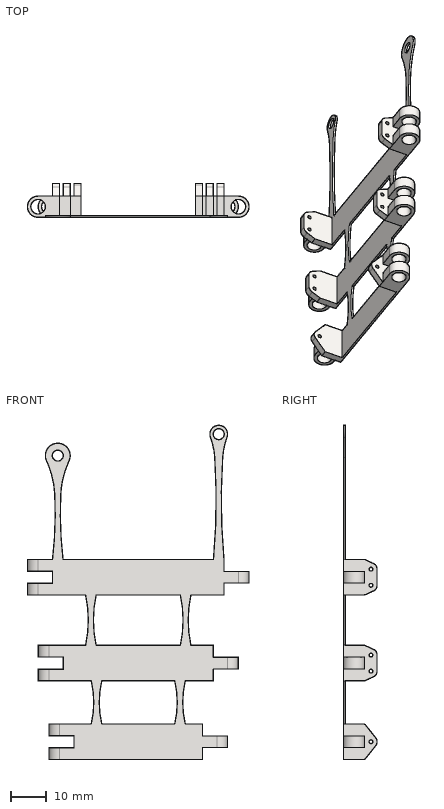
import cadquery as cq

plate_thickness = 0.6
segment_height = 10.0
lower_half_length = 25.0
length_step = 3.0
lower_gap = 12.0
upper_gap = 14.0

knuckle_radius = 3.0
knuckle_depth = 2 * knuckle_radius
knuckle_bore = 4.0
tongue_height = segment_height / 3
leaf_setback = 7.0

flange_thickness = 2.0
flange_depth = 9.5
flange_tip_radius = 1.75
flange_hole = 1.0
flange_hole_spacing = 4.5

link_end_width = 3.0
lower_link_waist = 1.6
upper_link_waist = 1.5
lower_link_offset = 11.67
upper_link_offset = 13.25

strap_offset = 22.5
strap_waist = 1.5
eyelet_hole = 3.0
left_eyelet_radius = 3.5
left_eyelet_rise = 29.0
left_neck_fillet = 25.0
right_eyelet_radius = 2.5
right_eyelet_rise = 35.0
right_neck_fillet = 20.0

middle_half_length = lower_half_length + length_step
upper_half_length = middle_half_length + length_step
middle_base = segment_height + lower_gap
upper_base = middle_base + segment_height + upper_gap
upper_top = upper_base + segment_height


def block(x_start, x_end, depth, z_start, z_end):
    """Box with its front face on Y = 0."""
    size = (x_end - x_start, depth, z_end - z_start)
    return cq.Workplane("XY").box(*size, centered=False).translate((x_start, 0, z_start))


def disc(radius, depth, x, z):
    """Round disc lying along Y with its front face on Y = 0."""
    return cq.Workplane("XZ", origin=(x, 0, z)).circle(radius).extrude(-depth)


def knuckle_bar(half_length, z_start, z_end):
    """Bored, round-ended bar at the -X end, running back to the inner flange face."""
    barrel_x = -half_length + knuckle_radius
    inner_x = -half_length + leaf_setback + flange_thickness
    barrel_plane = cq.Workplane("XY", origin=(barrel_x, knuckle_radius, z_start))
    barrel = barrel_plane.circle(knuckle_radius).extrude(z_end - z_start)
    bore = barrel_plane.circle(knuckle_bore / 2).extrude(z_end - z_start)
    return block(barrel_x, inner_x, knuckle_depth, z_start, z_end).union(barrel).cut(bore)


def tangent_point(tip_y, tip_z, corner_z, side):
    """Point where the taper from a flange corner touches the rounded tip; side is -1 low, 1 high."""
    run_y = knuckle_depth - tip_y
    run_z = abs(corner_z - tip_z)
    distance_squared = run_y**2 + run_z**2
    along = flange_tip_radius**2 / distance_squared
    across = flange_tip_radius * (distance_squared - flange_tip_radius**2) ** 0.5 / distance_squared
    return tip_y + along * run_y + across * run_z, tip_z + side * (along * run_z - across * run_y)


def flange(half_length, base, hole_heights):
    """Upright flange at the -X end, tapering behind the knuckles to rounded, drilled tips."""
    outer_x = -half_length + leaf_setback
    tip_y = flange_depth - flange_tip_radius
    low_z, high_z = base + hole_heights[0], base + hole_heights[-1]
    top = base + segment_height
    plane = cq.Workplane("YZ", origin=(outer_x, 0, 0))
    body = block(outer_x, outer_x + flange_thickness, knuckle_depth, base, top)
    taper = [(knuckle_depth, base), tangent_point(tip_y, low_z, base, -1)]
    taper += [tangent_point(tip_y, high_z, top, 1), (knuckle_depth, top)]
    body = body.union(plane.polyline(taper).close().extrude(flange_thickness))
    tips = [(tip_y, base + height) for height in hole_heights]
    if high_z > low_z:
        flat = [(tip_y, low_z), (flange_depth, low_z), (flange_depth, high_z), (tip_y, high_z)]
        body = body.union(plane.polyline(flat).close().extrude(flange_thickness))
    body = body.union(plane.pushPoints(tips).circle(flange_tip_radius).extrude(flange_thickness))
    return body.cut(plane.pushPoints(tips).circle(flange_hole / 2).extrude(flange_thickness))


def segment(half_length, base, hole_heights):
    """Plate with a forked hinge leaf at -X and a single-tongue leaf at +X."""
    top = base + segment_height
    tongue_start = base + tongue_height
    tongue_end = top - tongue_height
    flange_x = half_length - leaf_setback
    leaf_flange = flange(half_length, base, hole_heights)
    body = block(-flange_x, flange_x, plate_thickness, base, top)
    body = body.union(leaf_flange).union(leaf_flange.mirror("YZ"))
    body = body.union(knuckle_bar(half_length, base, tongue_start))
    body = body.union(knuckle_bar(half_length, tongue_end, top))
    return body.union(knuckle_bar(half_length, tongue_start, tongue_end).mirror("YZ"))


def waisted_strip(x, z_start, z_end, waist):
    """Thin upright strip whose sides curve in to a waist halfway up."""
    half_end = link_end_width / 2
    half_waist = waist / 2
    z_waist = (z_start + z_end) / 2
    return (
        cq.Workplane("XZ")
        .moveTo(x - half_end, z_start)
        .threePointArc((x - half_waist, z_waist), (x - half_end, z_end))
        .lineTo(x + half_end, z_end)
        .threePointArc((x + half_waist, z_waist), (x + half_end, z_start))
        .close()
        .extrude(-plate_thickness)
    )


def eyelet_strap(x, rise, radius, neck_fillet):
    """Strap above the top segment, blended into a ring at its upper end."""
    eyelet_z = upper_top + rise
    neck_z = eyelet_z - (radius**2 - (link_end_width / 2) ** 2) ** 0.5
    strap = waisted_strip(x, upper_top, neck_z, strap_waist)
    body = strap.union(disc(radius, plate_thickness, x, eyelet_z))
    margin = plate_thickness
    neck_zone = cq.selectors.BoxSelector(
        (x - radius, -margin, neck_z - margin),
        (x + radius, plate_thickness + margin, neck_z + margin),
    )
    body = body.edges("|Y").edges(neck_zone).fillet(neck_fillet)
    return body.cut(disc(eyelet_hole / 2, plate_thickness, x, eyelet_z))


middle_height = segment_height / 2
single_hole = [middle_height]
double_hole = [middle_height - flange_hole_spacing / 2, middle_height + flange_hole_spacing / 2]

result = segment(lower_half_length, 0, single_hole)
result = result.union(segment(middle_half_length, middle_base, double_hole))
result = result.union(segment(upper_half_length, upper_base, double_hole))
for side in (-1, 1):
    lower_link = waisted_strip(side * lower_link_offset, segment_height, middle_base, lower_link_waist)
    upper_link = waisted_strip(
        side * upper_link_offset, middle_base + segment_height, upper_base, upper_link_waist
    )
    result = result.union(lower_link).union(upper_link)
left_strap = eyelet_strap(-strap_offset, left_eyelet_rise, left_eyelet_radius, left_neck_fillet)
right_strap = eyelet_strap(strap_offset, right_eyelet_rise, right_eyelet_radius, right_neck_fillet)
result = result.union(left_strap).union(right_strap)